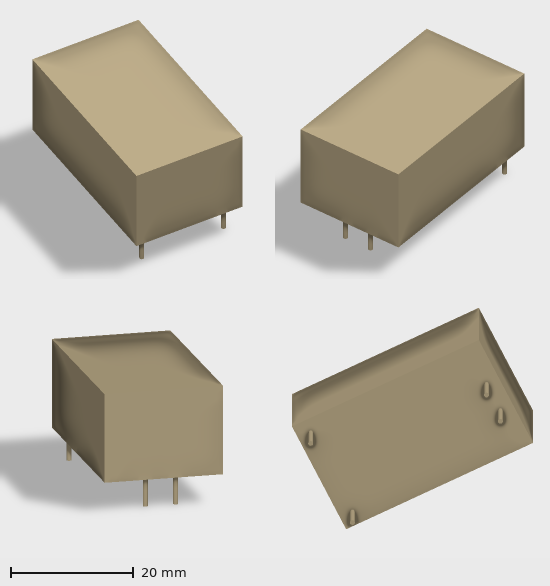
import cadquery as cq

housing_length = 34.0
housing_width = 20.0
total_height = 20.1
pin_length = 5.1
housing_height = total_height - pin_length

pin_diameter = 0.8
pin_row_spacing = 29.45
inner_pair_spacing = 5.1
outer_pair_spacing = 15.37


def make_housing():
    """Plain block with its underside at Z = 0."""
    return cq.Workplane("XY").box(
        housing_length, housing_width, housing_height, centered=(True, True, False)
    )


def make_pin(x, y):
    """Round pin hanging from the underside of the housing."""
    return cq.Workplane("XY").center(x, y).circle(pin_diameter / 2).extrude(-pin_length)


housing = make_housing()

pins = []
for row_x, pair_spacing in (
    (-pin_row_spacing / 2, inner_pair_spacing),
    (pin_row_spacing / 2, outer_pair_spacing),
):
    for side in (-1, 1):
        pins.append(make_pin(row_x, side * pair_spacing / 2))

result = cq.Compound.makeCompound([housing.val(), *[pin.val() for pin in pins]])